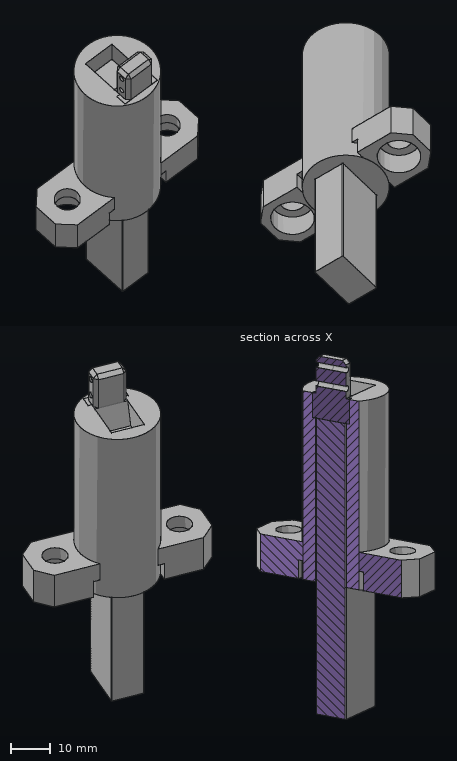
import cadquery as cq

HOUSING_DIAMETER = 22.0
HOUSING_BOTTOM = 35.0
HOUSING_TOP = 85.0

BAR_WIDTH = 14.0
BAR_DEPTH = 9.0
BAR_TOP = 78.5
BAR_EDGE_CHAMFER = 0.2

TOTAL_HEIGHT = 95.0
BLADE_LEFT = 3.9
BLADE_RIGHT = 9.0
BLADE_CHAMFER = 1.0
RAMP_RUN = 2.0
GUIDE_THICKNESS = 3.1
GUIDE_WIDTH = 11.0
CROSS_HOLE_X = 6.6
CROSS_HOLE_DIAMETER = 1.5
CROSS_HOLE_DROPS = (2.5, 7.4)

EAR_SPAN = 49.0
EAR_WIDTH = 15.3
EAR_HEIGHT = 10.1
EAR_CORNER_CHAMFER = 4.0
EAR_HOLE_DIAMETER = 6.6
EAR_HOLE_SPACING = 34.2
EAR_BORE_DIAMETER = 11.0
EAR_BORE_HEIGHT = 6.6
RELIEF_SPAN = 19.4
RELIEF_HEIGHT = 4.9


def block(x_min, x_max, depth, z_min, z_max):
    """A box given by its X and Z limits, with its depth centred on Y = 0."""
    return (
        cq.Workplane("XY", origin=((x_min + x_max) / 2, 0, z_min))
        .rect(x_max - x_min, depth)
        .extrude(z_max - z_min)
    )


def make_guide():
    """The wide back part of the slider; the housing recess has the same shape."""
    return block(BLADE_RIGHT - GUIDE_THICKNESS, BLADE_RIGHT, GUIDE_WIDTH, BAR_TOP, HOUSING_TOP)


def make_housing():
    body = cq.Workplane("XY", origin=(0, 0, HOUSING_BOTTOM)).circle(HOUSING_DIAMETER / 2)
    body = body.extrude(HOUSING_TOP - HOUSING_BOTTOM)
    slot = block(-BAR_WIDTH / 2, BAR_WIDTH / 2, BAR_DEPTH, HOUSING_BOTTOM, HOUSING_TOP)
    return body.cut(slot).cut(make_guide())


def make_bar():
    bar = block(-BAR_WIDTH / 2, BAR_WIDTH / 2, BAR_DEPTH, 0, BAR_TOP)
    return bar.edges("|Z").chamfer(BAR_EDGE_CHAMFER)


def make_slider():
    blade = block(BLADE_LEFT, BLADE_RIGHT, BAR_DEPTH, HOUSING_TOP, TOTAL_HEIGHT)
    blade = blade.edges("|Z or >Z").chamfer(BLADE_CHAMFER)
    cross_holes = (
        cq.Workplane("XZ", origin=(CROSS_HOLE_X, 0, TOTAL_HEIGHT))
        .pushPoints([(0, -drop) for drop in CROSS_HOLE_DROPS])
        .circle(CROSS_HOLE_DIAMETER / 2)
        .extrude(BAR_DEPTH, both=True)
    )
    ramp = (
        cq.Workplane("XZ")
        .moveTo(BLADE_LEFT - RAMP_RUN, BAR_TOP)
        .lineTo(BAR_WIDTH / 2, BAR_TOP)
        .lineTo(BAR_WIDTH / 2, HOUSING_TOP)
        .lineTo(BLADE_LEFT, HOUSING_TOP)
        .close()
        .extrude(BAR_DEPTH / 2, both=True)
    )
    return blade.cut(cross_holes).union(ramp).union(make_guide())


def make_ear(side):
    """One mounting ear; side is +1 for the +Y ear and -1 for the -Y ear."""
    base = cq.Workplane("XY", origin=(0, 0, HOUSING_BOTTOM))
    plate = base.rect(EAR_WIDTH, EAR_SPAN).extrude(EAR_HEIGHT)
    plate = plate.edges("|Z").chamfer(EAR_CORNER_CHAMFER)
    half = base.center(0, side * EAR_SPAN / 2).rect(EAR_WIDTH, EAR_SPAN).extrude(EAR_HEIGHT)
    seat = base.circle(HOUSING_DIAMETER / 2).extrude(EAR_HEIGHT)
    relief = base.rect(EAR_WIDTH, RELIEF_SPAN).extrude(RELIEF_HEIGHT)
    hole_centre = base.center(0, side * EAR_HOLE_SPACING / 2)
    hole = hole_centre.circle(EAR_HOLE_DIAMETER / 2).extrude(EAR_HEIGHT)
    bore = hole_centre.circle(EAR_BORE_DIAMETER / 2).extrude(EAR_BORE_HEIGHT)
    return plate.intersect(half).cut(seat).cut(relief).cut(hole).cut(bore)


housing = make_housing()
bar = make_bar()
slider = make_slider()
ears = [make_ear(side) for side in (-1, 1)]

result = cq.Compound.makeCompound(
    [housing.val(), bar.val(), slider.val(), *[ear.val() for ear in ears]]
)